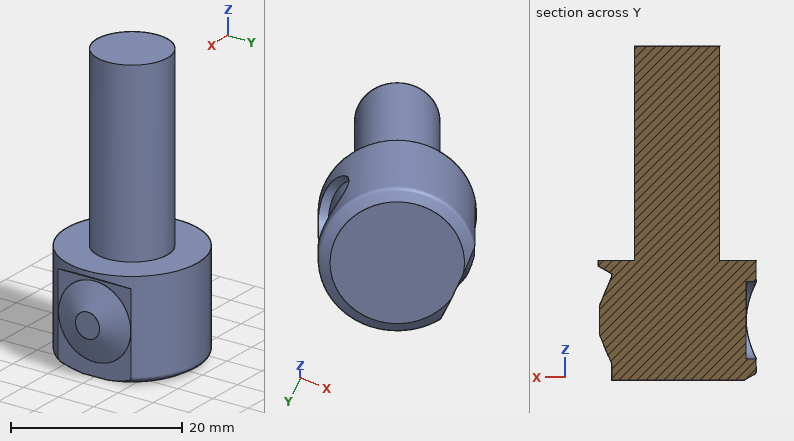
import cadquery as cq
import math

total_height = 39.0
head_diameter = 18.5
head_height = 14.0
shank_diameter = 10.0
head_radius = head_diameter / 2
head_middle = head_height / 2

bevel_angle = math.radians(30)
bevel_width = 1.4
bevel_height = bevel_width * math.tan(bevel_angle)
rim_blend_radius = 0.6

pocket_diameter = 9.0
pocket_depth = 1.17

flat_x = 7.65
lip_thickness = 0.65
lip_slope_height = (head_radius - flat_x) * math.tan(bevel_angle)

button_base_diameter = 10.3
button_tip_diameter = 3.45
button_height = 1.45


def make_head():
    """Turned head with a blended bevel around its lower rim."""
    profile = (
        cq.Workplane("XZ")
        .moveTo(0, 0)
        .lineTo(head_radius - bevel_width, 0)
        .lineTo(head_radius, bevel_height)
        .lineTo(head_radius, head_height)
        .lineTo(0, head_height)
        .close()
    )
    head = profile.revolve(360, (0, 0), (0, 1))
    bevel_top = cq.selectors.NearestToPointSelector((0, 0, bevel_height))
    return head.edges("%CIRCLE").edges(bevel_top).fillet(rim_blend_radius)


def make_pocket_cutter():
    """Radial plug with the pocket floor cylinder removed from it."""
    plug = (
        cq.Workplane("YZ", origin=(0, 0, head_middle))
        .circle(pocket_diameter / 2)
        .extrude(-head_diameter)
    )
    floor = cq.Workplane("XY").circle(head_radius - pocket_depth).extrude(head_height)
    return plug.cut(floor)


def make_flat_cutter():
    """Prism below the lip that leaves the flat open at the bottom."""
    lip_edge_z = head_height - lip_thickness
    return (
        cq.Workplane("XZ")
        .moveTo(flat_x, 0)
        .lineTo(head_radius, 0)
        .lineTo(head_radius, lip_edge_z)
        .lineTo(flat_x, lip_edge_z - lip_slope_height)
        .close()
        .extrude(head_radius, both=True)
    )


def make_button():
    """Truncated cone about the X direction at mid-height of the head."""
    return (
        cq.Workplane("XZ", origin=(0, 0, head_middle))
        .moveTo(0, 0)
        .lineTo(0, button_base_diameter / 2)
        .lineTo(flat_x, button_base_diameter / 2)
        .lineTo(flat_x + button_height, button_tip_diameter / 2)
        .lineTo(flat_x + button_height, 0)
        .close()
        .revolve(360, (0, 0), (1, 0))
    )


shank = (
    cq.Workplane("XY", origin=(0, 0, head_height))
    .circle(shank_diameter / 2)
    .extrude(total_height - head_height)
)

result = (
    make_head()
    .cut(make_pocket_cutter())
    .cut(make_flat_cutter())
    .union(make_button())
    .union(shank)
)